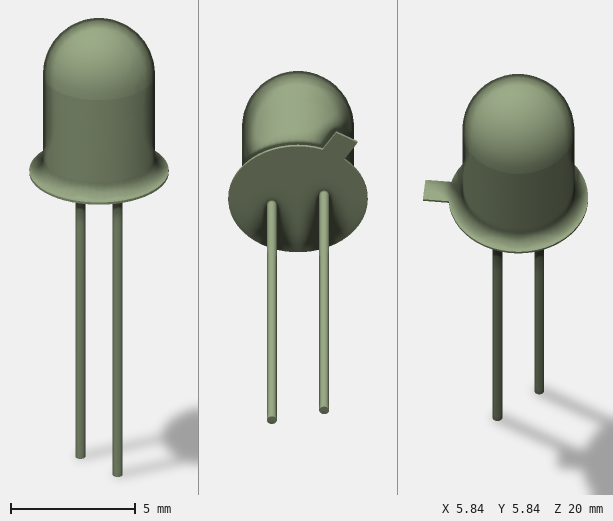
import cadquery as cq
import math

total_height = 20.0
flange_bottom = 13.3
can_top = 16.72

body_diameter = 4.5
body_radius = body_diameter / 2
dome_base = total_height - body_radius

flange_diameter = 5.6
flange_radius = flange_diameter / 2
flange_thickness = 0.1
flange_top = flange_bottom + flange_thickness
flare_radius = flange_radius - body_radius
flare_top = flange_top + flare_radius

tab_width = 1.0
tab_reach = 3.8
tab_angle = 135.0

lead_diameter = 0.4
lead_spacing = 2.15


def make_can():
    """Metal can: a revolved wall, flare and flange, with a radial tab."""
    diagonal = math.sqrt(0.5)
    flare_middle = (
        flange_radius - flare_radius * diagonal,
        flare_top - flare_radius * diagonal,
    )
    shell = (
        cq.Workplane("XZ")
        .moveTo(0, flange_bottom)
        .lineTo(flange_radius, flange_bottom)
        .lineTo(flange_radius, flange_top)
        .threePointArc(flare_middle, (body_radius, flare_top))
        .lineTo(body_radius, can_top)
        .lineTo(0, can_top)
        .close()
        .revolve(360, (0, 0, 0), (0, 1, 0))
    )
    tab = (
        cq.Workplane("XY")
        .workplane(offset=flange_bottom)
        .rect(tab_reach, tab_width)
        .extrude(flange_thickness)
        .translate((tab_reach / 2, 0, 0))
        .rotate((0, 0, 0), (0, 0, 1), tab_angle)
    )
    return shell.union(tab)


def make_lens():
    """Lens: a short cylinder on the can, closed by a hemispherical dome."""
    diagonal = math.sqrt(0.5)
    dome_middle = (body_radius * diagonal, dome_base + body_radius * diagonal)
    return (
        cq.Workplane("XZ")
        .moveTo(0, can_top)
        .lineTo(body_radius, can_top)
        .lineTo(body_radius, dome_base)
        .threePointArc(dome_middle, (0, total_height))
        .close()
        .revolve(360, (0, 0, 0), (0, 1, 0))
    )


def make_lead(x):
    """Straight round lead that ends against the underside of the can."""
    return cq.Workplane("XY").center(x, 0).circle(lead_diameter / 2).extrude(flange_bottom)


can = make_can()
lens = make_lens()
leads = [make_lead(side * lead_spacing / 2) for side in (-1, 1)]

result = cq.Compound.makeCompound([can.val(), lens.val(), *[lead.val() for lead in leads]])